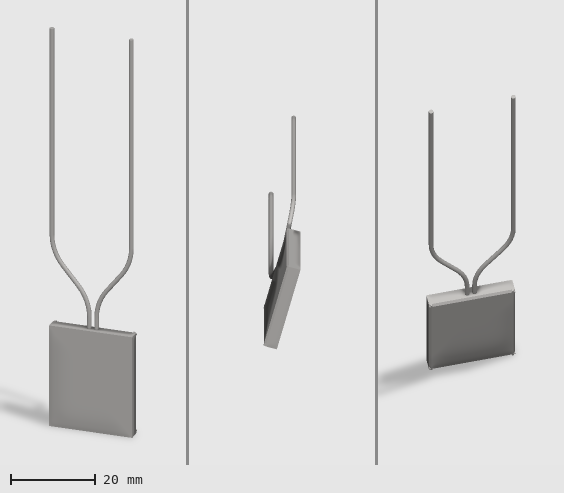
import cadquery as cq
import math


TRAY_WIDTH = 20.8
TRAY_DEPTH = 3.27
TRAY_HEIGHT = 26.0
WALL = 0.45
RIM_WIDTH = 0.75
BACK_THICKNESS = RIM_WIDTH
BACK_CHAMFER = 0.5
FRONT_Y = -TRAY_DEPTH / 2
FILL_DEPTH = TRAY_DEPTH - BACK_THICKNESS

FRAME_WIDTH = 3.4
FRAME_HEIGHT = 10.2
FRAME_CENTRE_Z = 14.5
INSERT_WIDTH = 3.2
INSERT_HEIGHT = 9.8

PIN_DIAMETER = 3.2
PIN_SPACING = 9.0
PIN_Z = 5.5

LEAD_DIAMETER = 1.1
LEAD_EXIT_SPACING = 1.8
LEAD_BEND_RADIUS = 11.8
LEAD_BEND_START_Z = 29.0
LEAD_TOP_Z = 102.21
LEAD_TOP_SPACING = 19.9
LEAD_OVERHANG = 0.43
LEFT_LEAD_X = -TRAY_WIDTH / 2 - LEAD_OVERHANG + LEAD_DIAMETER / 2
RIGHT_LEAD_X = LEFT_LEAD_X + LEAD_TOP_SPACING
LEFT_BEND_END_Z = 48.8
RIGHT_BEND_END_Z = 48.2


def block(width, height, centre_x, centre_z, depth=TRAY_DEPTH):
    """A block running back from the front plane."""
    return cq.Workplane("XY").box(width, depth, height).translate(
        (centre_x, FRONT_Y + depth / 2, centre_z)
    )


def make_lead(exit_x, top_x, bend_end_z):
    """A round wire: straight, S-bend of two equal arcs joined by a slanted run, straight."""
    side = math.copysign(1, top_x - exit_x)
    radius = LEAD_BEND_RADIUS
    shift = abs(top_x - exit_x)
    rise = bend_end_z - LEAD_BEND_START_Z
    slant = math.sqrt((shift - 2 * radius) ** 2 + rise**2 - (2 * radius) ** 2)
    bend = math.atan2(2 * radius, slant) - math.atan2(2 * radius - shift, rise)

    def arc_offset(angle):
        return side * radius * (1 - math.cos(angle)), radius * math.sin(angle)

    end_dx, end_dz = arc_offset(bend)
    mid_dx, mid_dz = arc_offset(bend / 2)
    path = (
        cq.Workplane("XZ")
        .moveTo(exit_x, TRAY_HEIGHT - WALL)
        .lineTo(exit_x, LEAD_BEND_START_Z)
        .threePointArc(
            (exit_x + mid_dx, LEAD_BEND_START_Z + mid_dz),
            (exit_x + end_dx, LEAD_BEND_START_Z + end_dz),
        )
        .lineTo(top_x - end_dx, bend_end_z - end_dz)
        .threePointArc((top_x - mid_dx, bend_end_z - mid_dz), (top_x, bend_end_z))
        .lineTo(top_x, LEAD_TOP_Z)
    )
    start = cq.Workplane("XY", origin=(exit_x, 0, TRAY_HEIGHT - WALL))
    return start.circle(LEAD_DIAMETER / 2).sweep(path)


def make_tray(leads):
    """Back plate and four full-length rim bars crossing at the corners, hollowed from the front.

    Each bar has its own outer back edge chamfered, so the crossing bars keep the back corners square.
    """
    tray = block(TRAY_WIDTH - 2 * RIM_WIDTH, TRAY_HEIGHT - 2 * RIM_WIDTH, 0, TRAY_HEIGHT / 2)
    for side, outer_face in ((-1, "<"), (1, ">")):
        side_bar = block(RIM_WIDTH, TRAY_HEIGHT, side * (TRAY_WIDTH - RIM_WIDTH) / 2, TRAY_HEIGHT / 2)
        end_bar = block(TRAY_WIDTH, RIM_WIDTH, 0, TRAY_HEIGHT / 2 + side * (TRAY_HEIGHT - RIM_WIDTH) / 2)
        side_bar = side_bar.faces(">Y").edges(outer_face + "X").chamfer(BACK_CHAMFER)
        end_bar = end_bar.faces(">Y").edges(outer_face + "Z").chamfer(BACK_CHAMFER)
        tray = tray.union(side_bar).union(end_bar)
    tray = tray.cut(make_cavity())
    for lead in leads:
        tray = tray.cut(lead)
    return tray


def make_cavity():
    """The space inside the tray walls."""
    return block(TRAY_WIDTH - 2 * WALL, TRAY_HEIGHT - 2 * WALL, 0, TRAY_HEIGHT / 2, FILL_DEPTH)


def make_pin(centre_x):
    pin = cq.Workplane("XZ", origin=(centre_x, FRONT_Y, PIN_Z))
    return pin.circle(PIN_DIAMETER / 2).extrude(-FILL_DEPTH)


def make_insert():
    """A block with fully rounded top and bottom ends."""
    outline = cq.Workplane("XZ", origin=(0, FRONT_Y, FRAME_CENTRE_Z))
    return outline.slot2D(INSERT_HEIGHT, INSERT_WIDTH, 90).extrude(-FILL_DEPTH)


def make_frame(insert):
    return block(FRAME_WIDTH, FRAME_HEIGHT, 0, FRAME_CENTRE_Z, FILL_DEPTH).cut(insert)


def make_potting(pins):
    """The filling inside the tray walls, with openings for the frame and the pins."""
    potting = make_cavity().cut(block(FRAME_WIDTH, FRAME_HEIGHT, 0, FRAME_CENTRE_Z, FILL_DEPTH))
    for pin in pins:
        potting = potting.cut(pin)
    return potting


leads = [
    make_lead(-LEAD_EXIT_SPACING / 2, LEFT_LEAD_X, LEFT_BEND_END_Z),
    make_lead(LEAD_EXIT_SPACING / 2, RIGHT_LEAD_X, RIGHT_BEND_END_Z),
]
pins = [make_pin(side * PIN_SPACING / 2) for side in (-1, 1)]
tray = make_tray(leads)
insert = make_insert()
frame = make_frame(insert)
potting = make_potting(pins)

bodies = [tray, potting, frame, insert, *pins, *leads]
result = cq.Compound.makeCompound([body.solids().val() for body in bodies])